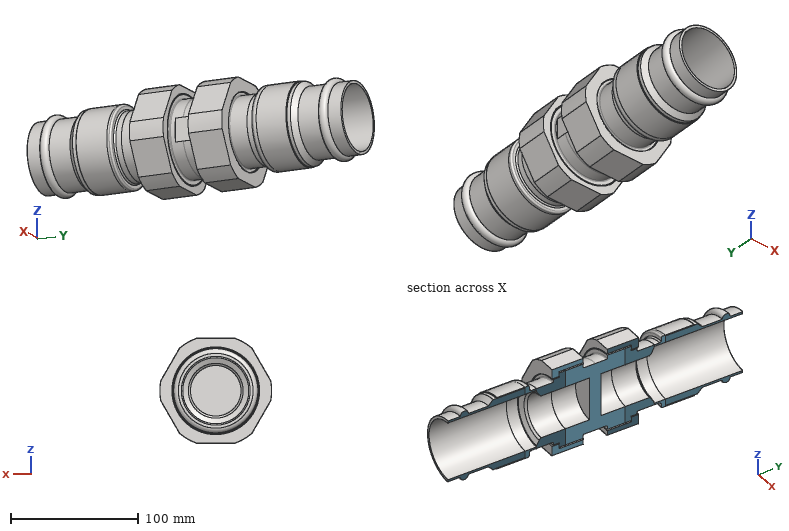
import cadquery as cq
TOTAL_LENGTH = 276.5
END_Y = TOTAL_LENGTH / 2

SOCKET_DIAMETER = 59.0
SOCKET_BORE = 54.2
BEAD_DIAMETER = 66.3
BEAD_WIDTH = 8.0
BEAD_Y = 122.7
SHOULDER_DIAMETER = 67.7
SHOULDER_CONE_OUTER_Y = 100.3
SHOULDER_CONE_INNER_Y = 96.0

CUP_DIAMETER = 69.0
CUP_OUTER_Y = 93.0
CUP_INNER_Y = 61.6
CUP_FLOOR_THICKNESS = 4.1
CUP_FLOOR_Y = CUP_INNER_Y + CUP_FLOOR_THICKNESS
CUP_ROUND = 1.7
CUP_MOUTH_CHAMFER = 0.5
NECK_OUTER_DIAMETER = 60.3
NECK_CONE_LENGTH = 1.5
NECK_END_Y = 55.3

NUT_ACROSS_FLATS = 83.0
NUT_CORNER_DIAMETER = 88.2
NUT_INNER_Y = 11.0
NUT_LENGTH = 29.5
NUT_OUTER_Y = NUT_INNER_Y + NUT_LENGTH
NUT_LIP = 7.0
NUT_LIP_BORE = 64.5
NUT_BORE = 73.5
HEXAGON_TURN = 30

TAIL_DIAMETER = 58.0
TAIL_COLLAR_DIAMETER = 63.5
TAIL_COLLAR_OUTER_Y = 39.5
TAIL_COLLAR_FILLET = 0.5
TAIL_FLANGE_LENGTH = 5.5
TAIL_FLANGE_OUTER_Y = NUT_OUTER_Y - NUT_LIP
TAIL_INNER_Y = TAIL_FLANGE_OUTER_Y - TAIL_FLANGE_LENGTH
TAIL_MOUTH_DIAMETER = 52.0
TAIL_THROAT_DIAMETER = 43.0
TAIL_BORE = 39.8
TAIL_MOUTH_CONE_LENGTH = 2.5
TAIL_THROAT_CONE_LENGTH = 2.0

CENTRE_DIAMETER = 64.5
CENTRE_END_DIAMETER = 72.0
CENTRE_SHOULDER_Y = 11.0
CENTRE_SHOULDER_FILLET = 0.5
CENTRE_WEB_THICKNESS = 11.0
FLAT_ACROSS = 61.5
FLAT_MIN_Y = -6.5
FLAT_MAX_Y = 9.7


def revolved(outline):
    """Solid of revolution about Y of an outline drawn in radius and Y."""
    return outline.close().revolve(360, (0, 0, 0), (0, 1, 0))


def disc(diameter, low_y, high_y):
    corners = [(0, low_y), (diameter / 2, low_y), (diameter / 2, high_y), (0, high_y)]
    return revolved(cq.Workplane("XY").polyline(corners))


def make_socket():
    outline = (
        cq.Workplane("XY")
        .moveTo(SOCKET_BORE / 2, CUP_FLOOR_Y)
        .lineTo(SHOULDER_DIAMETER / 2, CUP_FLOOR_Y)
        .lineTo(SHOULDER_DIAMETER / 2, SHOULDER_CONE_INNER_Y)
        .lineTo(SOCKET_DIAMETER / 2, SHOULDER_CONE_OUTER_Y)
        .lineTo(SOCKET_DIAMETER / 2, BEAD_Y - BEAD_WIDTH / 2)
        .threePointArc(
            (BEAD_DIAMETER / 2, BEAD_Y),
            (SOCKET_DIAMETER / 2, BEAD_Y + BEAD_WIDTH / 2),
        )
        .lineTo(SOCKET_DIAMETER / 2, END_Y)
        .lineTo(SOCKET_BORE / 2, END_Y)
    )
    return revolved(outline)


def make_cup():
    cup_radius = CUP_DIAMETER / 2
    outline = (
        cq.Workplane("XY")
        .moveTo(SOCKET_BORE / 2, NECK_END_Y)
        .lineTo(TAIL_DIAMETER / 2, NECK_END_Y)
        .lineTo(TAIL_DIAMETER / 2, CUP_INNER_Y - NECK_CONE_LENGTH)
        .lineTo(NECK_OUTER_DIAMETER / 2, CUP_INNER_Y)
        .lineTo(cup_radius - CUP_ROUND, CUP_INNER_Y)
        .radiusArc((cup_radius, CUP_INNER_Y + CUP_ROUND), -CUP_ROUND)
        .lineTo(cup_radius, CUP_OUTER_Y - CUP_MOUTH_CHAMFER)
        .lineTo(cup_radius - CUP_MOUTH_CHAMFER, CUP_OUTER_Y)
        .lineTo(SHOULDER_DIAMETER / 2, CUP_OUTER_Y)
        .lineTo(SHOULDER_DIAMETER / 2, CUP_FLOOR_Y)
        .lineTo(SOCKET_BORE / 2, CUP_FLOOR_Y)
    )
    return revolved(outline)


def make_nut():
    hexagon = (
        cq.Workplane("XZ", origin=(0, NUT_OUTER_Y, 0))
        .polygon(6, NUT_ACROSS_FLATS, circumscribed=True)
        .extrude(NUT_LENGTH)
        .rotate((0, 0, 0), (0, 1, 0), HEXAGON_TURN)
    )
    blank = hexagon.intersect(disc(NUT_CORNER_DIAMETER, NUT_INNER_Y, NUT_OUTER_Y))
    bore = disc(NUT_BORE, NUT_INNER_Y, NUT_OUTER_Y - NUT_LIP)
    lip_bore = disc(NUT_LIP_BORE, NUT_INNER_Y, NUT_OUTER_Y)
    return blank.cut(bore).cut(lip_bore)


def make_tail():
    tail_radius = TAIL_DIAMETER / 2
    mouth_cone_end_y = NECK_END_Y - TAIL_MOUTH_CONE_LENGTH
    outline = (
        cq.Workplane("XY")
        .moveTo(TAIL_BORE / 2, TAIL_INNER_Y)
        .lineTo(CENTRE_END_DIAMETER / 2, TAIL_INNER_Y)
        .lineTo(CENTRE_END_DIAMETER / 2, TAIL_FLANGE_OUTER_Y)
        .lineTo(TAIL_COLLAR_DIAMETER / 2, TAIL_FLANGE_OUTER_Y)
        .lineTo(TAIL_COLLAR_DIAMETER / 2, TAIL_COLLAR_OUTER_Y)
        .lineTo(tail_radius + TAIL_COLLAR_FILLET, TAIL_COLLAR_OUTER_Y)
        .radiusArc((tail_radius, TAIL_COLLAR_OUTER_Y + TAIL_COLLAR_FILLET), TAIL_COLLAR_FILLET)
        .lineTo(tail_radius, NECK_END_Y)
        .lineTo(TAIL_MOUTH_DIAMETER / 2, NECK_END_Y)
        .lineTo(TAIL_THROAT_DIAMETER / 2, mouth_cone_end_y)
        .lineTo(TAIL_BORE / 2, mouth_cone_end_y - TAIL_THROAT_CONE_LENGTH)
    )
    return revolved(outline)


def make_centre():
    centre_radius = CENTRE_DIAMETER / 2
    half_outline = (
        cq.Workplane("XY")
        .moveTo(centre_radius, 0)
        .lineTo(centre_radius, CENTRE_SHOULDER_Y - CENTRE_SHOULDER_FILLET)
        .radiusArc((centre_radius + CENTRE_SHOULDER_FILLET, CENTRE_SHOULDER_Y), CENTRE_SHOULDER_FILLET)
        .lineTo(CENTRE_END_DIAMETER / 2, CENTRE_SHOULDER_Y)
        .lineTo(CENTRE_END_DIAMETER / 2, TAIL_INNER_Y)
        .lineTo(TAIL_BORE / 2, TAIL_INNER_Y)
        .lineTo(TAIL_BORE / 2, CENTRE_WEB_THICKNESS / 2)
        .lineTo(0, CENTRE_WEB_THICKNESS / 2)
        .lineTo(0, 0)
    )
    body = half_outline.mirrorX().revolve(360, (0, 0, 0), (0, 1, 0))
    flat_length = FLAT_MAX_Y - FLAT_MIN_Y
    flat_y = (FLAT_MIN_Y + FLAT_MAX_Y) / 2
    flat_depth = (CENTRE_DIAMETER - FLAT_ACROSS) / 2
    flat_cutter = cq.Workplane("XY").box(flat_depth, flat_length, CENTRE_DIAMETER)
    for side in (-1, 1):
        flat_x = side * (FLAT_ACROSS + flat_depth) / 2
        body = body.cut(flat_cutter.translate((flat_x, flat_y, 0)))
    return body


bodies = [make_centre().val()]
for make_body in (make_socket, make_cup, make_nut, make_tail):
    for turn in (0, 180):
        bodies.append(make_body().rotate((0, 0, 0), (0, 0, 1), turn).val())

result = cq.Compound.makeCompound(bodies)